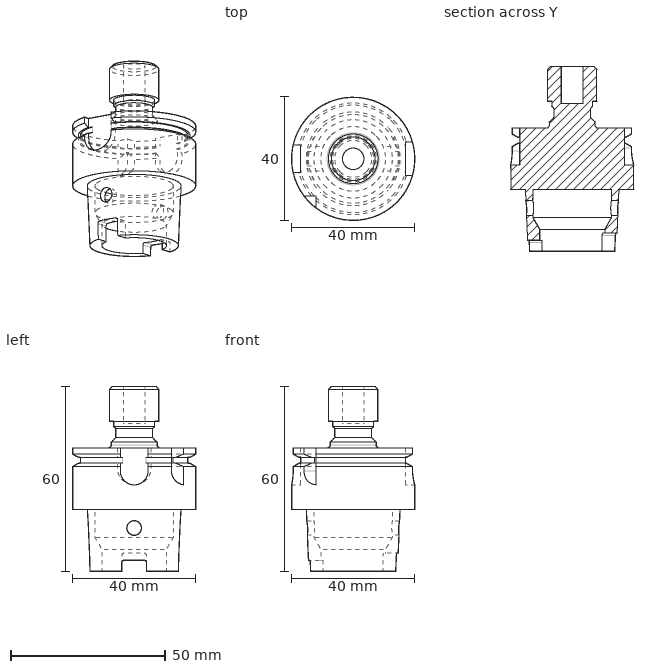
import cadquery as cq
import math

total_height = 60.0
shank_height = 20.0
flange_top = 40.0

shank_top_radius = 15.25
shank_bottom_radius = 14.4
mouth_radius = 10.5
mouth_height = 7.15
clamp_recess_radius = 12.7
clamp_angle = 30
pin_hole_radius = 2.35
pin_hole_height = 14.05
key_width = 8.0
key_corner_radius = 0.7
left_key_height = 3.55
right_key_height = 5.9

flange_diameter = 40.0
flange_radius = flange_diameter / 2
groove_radius = 17.45
groove_middle = 36.0
groove_mouth = 4.0
groove_floor = 1.85
groove_flank_angle = 60

slot_bottom = 28.0
side_slot_floor = 17.05
left_slot_width = 9.0
right_slot_width = 10.9
corner_slot_floor = 12.1
corner_slot_edge = -12.1

foot_radius = 7.5
foot_fillet = 0.95
foot_top = 41.9
neck_radius = 6.0
neck_bottom = 43.4
neck_top = 46.3
collar_radius = 6.65
collar_bottom = 46.9
head_radius = 8.05
head_bottom = 48.65
head_chamfer = 0.95
head_bore_radius = 3.5
head_bore_depth = 12.0

cut_overrun = 0.6


def turned_body():
    """Shank, flange, groove and nose as one revolved half-section."""
    flank_height = (groove_mouth - groove_floor) / 2
    flank_radius = flange_radius - flank_height * math.tan(math.radians(groove_flank_angle))
    fillet_top = flange_top + foot_fillet
    fillet_outer = foot_radius + foot_fillet
    fillet_reach = foot_fillet * math.cos(math.pi / 4)
    section = (
        cq.Workplane("XZ")
        .lineTo(shank_bottom_radius, 0)
        .lineTo(shank_top_radius, shank_height)
        .lineTo(flange_radius, shank_height)
        .lineTo(flange_radius, groove_middle - groove_mouth / 2)
        .lineTo(flank_radius, groove_middle - groove_floor / 2)
        .lineTo(groove_radius, groove_middle - groove_floor / 2)
        .lineTo(groove_radius, groove_middle + groove_floor / 2)
        .lineTo(flank_radius, groove_middle + groove_floor / 2)
        .lineTo(flange_radius, groove_middle + groove_mouth / 2)
        .lineTo(flange_radius, flange_top)
        .lineTo(fillet_outer, flange_top)
        .threePointArc(
            (fillet_outer - fillet_reach, fillet_top - fillet_reach),
            (foot_radius, fillet_top),
        )
        .lineTo(foot_radius, foot_top)
        .lineTo(neck_radius, neck_bottom)
        .lineTo(neck_radius, neck_top)
        .lineTo(collar_radius, collar_bottom)
        .lineTo(collar_radius, head_bottom)
        .lineTo(head_radius, head_bottom)
        .lineTo(head_radius, total_height - head_chamfer)
        .lineTo(head_radius - head_chamfer, total_height)
        .lineTo(0, total_height)
        .close()
    )
    return section.revolve(360, (0, 0, 0), (0, 1, 0))


def bores():
    """Blind head bore, shank bore with a wider clamping recess, and the cross hole along X."""
    head_bore = (
        cq.Workplane("XY", origin=(0, 0, total_height - head_bore_depth))
        .circle(head_bore_radius)
        .extrude(head_bore_depth)
    )
    clamp_cone_height = (clamp_recess_radius - mouth_radius) / math.tan(math.radians(clamp_angle))
    shank_bore = (
        cq.Workplane("XZ")
        .lineTo(mouth_radius, 0)
        .lineTo(mouth_radius, mouth_height)
        .lineTo(clamp_recess_radius, mouth_height + clamp_cone_height)
        .lineTo(clamp_recess_radius, shank_height)
        .lineTo(0, shank_height)
        .close()
        .revolve(360, (0, 0, 0), (0, 1, 0))
    )
    pin_hole = (
        cq.Workplane("YZ", origin=(0, 0, pin_hole_height))
        .circle(pin_hole_radius)
        .extrude(flange_radius, both=True)
    )
    return head_bore.union(shank_bore).union(pin_hole)


def rim_slot(side, floor, center_y, width):
    """Slot open to the top and to one X side (side is -1 or 1), with a full-round bottom."""
    radius = width / 2
    round_center = slot_bottom + radius
    profile = (
        cq.Workplane("YZ", origin=(side * floor, 0, 0))
        .moveTo(center_y - radius, flange_top)
        .lineTo(center_y - radius, round_center)
        .threePointArc((center_y, slot_bottom), (center_y + radius, round_center))
        .lineTo(center_y + radius, flange_top)
        .close()
    )
    return profile.extrude(side * (flange_radius - floor + cut_overrun))


def key_slot(side, height):
    """Drive-key notch through the shank wall on one X side, open at the bottom."""
    return (
        cq.Workplane("XY")
        .box(flange_radius, key_width, height, centered=(False, True, False))
        .edges("|X and >Z")
        .fillet(key_corner_radius)
        .translate((0 if side > 0 else -flange_radius, 0, 0))
    )


result = (
    turned_body()
    .cut(bores())
    .cut(rim_slot(-1, side_slot_floor, 0, left_slot_width))
    .cut(rim_slot(1, side_slot_floor, 0, right_slot_width))
    .cut(rim_slot(-1, corner_slot_floor, corner_slot_edge - left_slot_width / 2, left_slot_width))
    .cut(key_slot(-1, left_key_height))
    .cut(key_slot(1, right_key_height))
)